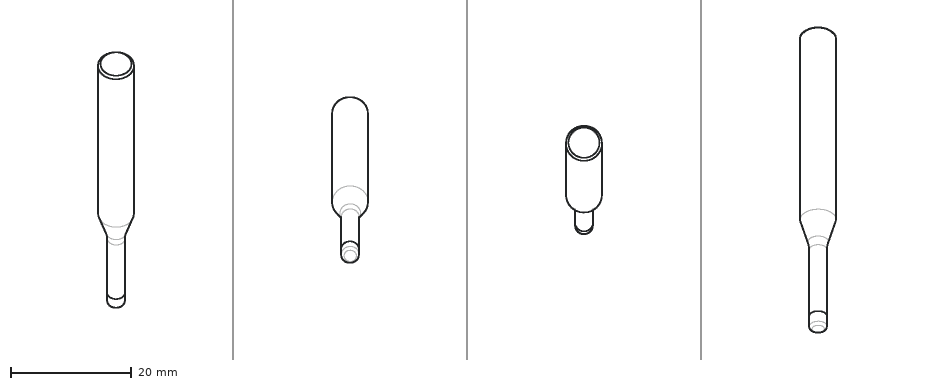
import cadquery as cq
import math

total_length = 60.0
shank_radius = 3.0
neck_radius = 1.5

chamfer_size = 0.4

head_length = 2.5
corner_radius = 0.5

neck_top = 16.2
blend_radius = 6.0
cone_half_angle = math.radians(15.6)


def blend_point(angle):
    """Point (radius, z) on the concave arc, at an angle up from the top of the neck."""
    return (
        neck_radius + blend_radius * (1 - math.cos(angle)),
        neck_top + blend_radius * math.sin(angle),
    )


def make_shank():
    """Turned shank with its neck, tapered transition and chamfered top."""
    blend_middle = blend_point(cone_half_angle / 2)
    blend_end = blend_point(cone_half_angle)
    cone_top = blend_end[1] + (shank_radius - blend_end[0]) / math.tan(cone_half_angle)
    profile = (
        cq.Workplane("XZ")
        .moveTo(0, head_length)
        .lineTo(neck_radius, head_length)
        .lineTo(neck_radius, neck_top)
        .threePointArc(blend_middle, blend_end)
        .lineTo(shank_radius, cone_top)
        .lineTo(shank_radius, total_length - chamfer_size)
        .lineTo(shank_radius - chamfer_size, total_length)
        .lineTo(0, total_length)
        .close()
    )
    return profile.revolve(360, (0, 0), (0, 1))


def make_cutting_head():
    """Cylindrical head, flush with the neck, with a rounded lower corner."""
    return cq.Workplane("XY").circle(neck_radius).extrude(head_length).faces("<Z").edges().fillet(corner_radius)


shank = make_shank()
cutting_head = make_cutting_head()

result = cq.Compound.makeCompound([shank.val(), cutting_head.val()])